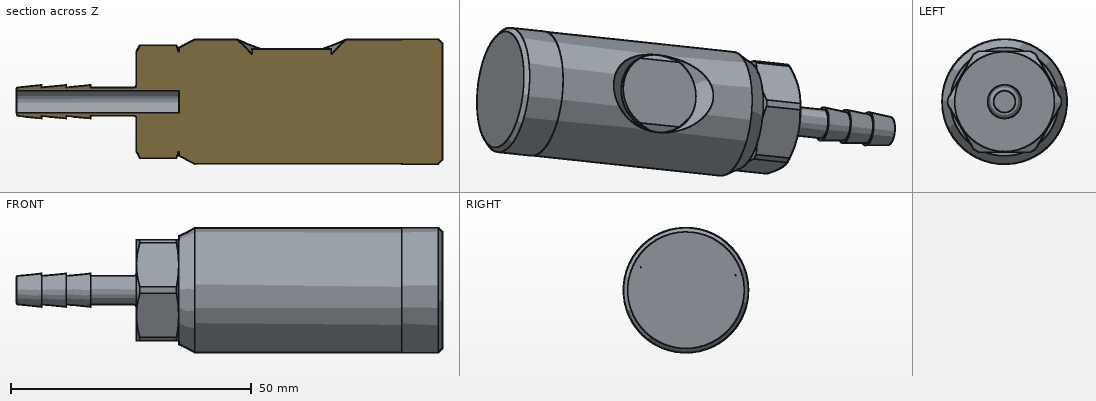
import cadquery as cq
import math

overall_length = 88.4

barb_base_radius = 3.0
barb_lip_radius = 3.5
barb_lip_positions = (5.2, 10.35, 15.4)
tip_rounding = 0.4
stem_fillet = 0.4
bore_diameter = 4.5

hex_start = 24.8
hex_end = 33.7
hex_across_flats = 21.0
hex_turn = 30
hex_corner_diameter = 23.5
hex_face_diameter = 20.7
hex_front_chamfer = 0.8
hex_back_chamfer = 0.5

body_radius = 12.95
cone_start_radius = 11.25
cone_end = 37.0
seam_position = 79.9
cap_radius = 13.0
end_chamfer = 0.9

button_position = 57.1
button_diameter = 16.5
button_top = 10.95
recess_diameter = 16.6
recess_slope = math.radians(45)


def revolve_about_x(sketch):
    """Close a half profile drawn as (X, radius) and turn it about the X axis."""
    return sketch.close().revolve(360, (0, 0, 0), (1, 0, 0))


def make_hose_barb():
    profile = (
        cq.Workplane("XY")
        .lineTo(0, barb_base_radius - tip_rounding)
        .radiusArc((tip_rounding, barb_base_radius), tip_rounding)
    )
    for lip_position in barb_lip_positions:
        profile = profile.lineTo(lip_position, barb_lip_radius)
        profile = profile.lineTo(lip_position, barb_base_radius)
    profile = (
        profile.lineTo(hex_start - stem_fillet, barb_base_radius)
        .radiusArc((hex_start, barb_base_radius + stem_fillet), -stem_fillet)
        .lineTo(hex_start, 0)
    )
    return revolve_about_x(profile)


def make_hex_nut():
    hexagon = (
        cq.Workplane("YZ", origin=(hex_start, 0, 0))
        .polygon(6, hex_across_flats, circumscribed=True)
        .extrude(hex_end - hex_start)
        .rotate((0, 0, 0), (1, 0, 0), hex_turn)
    )
    face_radius = hex_face_diameter / 2
    corner_radius = hex_corner_diameter / 2
    turned_envelope = revolve_about_x(
        cq.Workplane("XY")
        .moveTo(hex_start, 0)
        .lineTo(hex_start, face_radius)
        .lineTo(hex_start + hex_front_chamfer, corner_radius)
        .lineTo(hex_end - hex_back_chamfer, corner_radius)
        .lineTo(hex_end, face_radius)
        .lineTo(hex_end, 0)
    )
    return hexagon.intersect(turned_envelope)


def make_body():
    return revolve_about_x(
        cq.Workplane("XY")
        .moveTo(hex_end, 0)
        .lineTo(hex_end, cone_start_radius)
        .lineTo(cone_end, body_radius)
        .lineTo(seam_position, body_radius)
        .lineTo(seam_position, cap_radius)
        .lineTo(overall_length - end_chamfer, cap_radius)
        .lineTo(overall_length, cap_radius - end_chamfer)
        .lineTo(overall_length, 0)
    )


def make_button_recess():
    """Conical recess around the button, with the button left standing in it."""
    recess_radius = recess_diameter / 2
    floor_height = math.sqrt(body_radius**2 - recess_radius**2)
    top_radius = recess_radius + (body_radius - floor_height) * math.tan(recess_slope)
    cone = (
        cq.Workplane("XY", origin=(button_position, 0, 0))
        .moveTo(0, floor_height)
        .lineTo(recess_radius, floor_height)
        .lineTo(top_radius, body_radius)
        .lineTo(0, body_radius)
        .close()
        .revolve(360, (0, 0, 0), (0, 1, 0))
    )
    button = (
        cq.Workplane("XZ", origin=(button_position, 0, 0))
        .circle(button_diameter / 2)
        .extrude(-button_top)
    )
    return cone.cut(button)


def make_hose_bore():
    return cq.Workplane("YZ").circle(bore_diameter / 2).extrude(hex_end)


result = (
    make_body()
    .union(make_hex_nut())
    .union(make_hose_barb())
    .cut(make_button_recess())
    .cut(make_hose_bore())
)